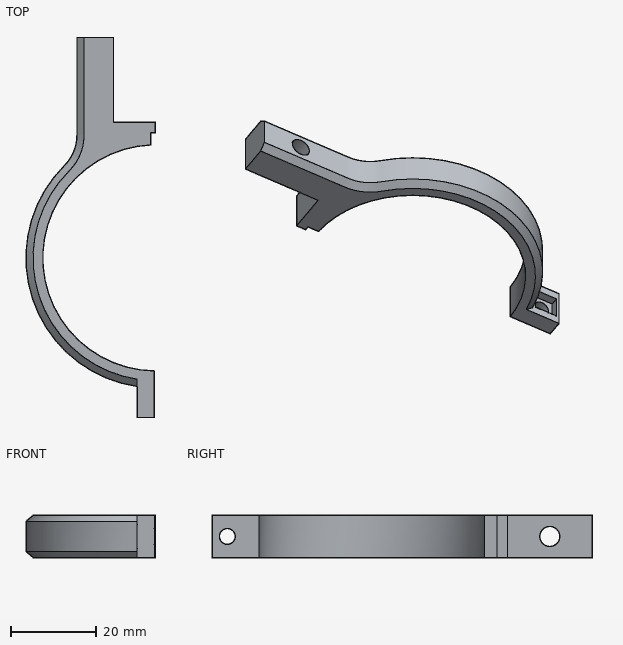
import cadquery as cq
import math

height = 10.0
outer_radius = 30.5
ring_thickness = 4.0
inner_radius = outer_radius - ring_thickness
edge_chamfer_height = 1.4
edge_chamfer_width = 1.7

total_length = 89.1
post_top = 51.7
post_left = -18.5
post_width = 8.6
post_right = post_left + post_width
blend_radius = 10.0
lug_right = -0.1
lug_top = 31.8
step_depth = 1.1
step_height = 2.5
post_hole_diameter = 4.6
post_hole_y = 41.7

tab_bottom = post_top - total_length
tab_right = -0.4
tab_thickness = 4.0
tab_left = tab_right - tab_thickness
tab_hole_diameter = 3.65
tab_hole_y = -33.9
nut_pocket_size = 5.7
nut_pocket_depth = 2.0


def circle_y(radius, x):
    """Positive Y of the point at x on a circle about the ring axis."""
    return math.sqrt(radius**2 - x**2)


def x_cylinder(diameter, y, x_start, length):
    """Cylinder along +X at mid height."""
    plane = cq.Plane(origin=(x_start, y, 0), xDir=(0, 1, 0), normal=(1, 0, 0))
    return cq.Workplane(plane).circle(diameter / 2).extrude(length)


def make_body():
    """Ring, post and lug, with the outer-left edges chamfered."""
    blend_x = post_left - blend_radius
    blend_y = circle_y(outer_radius + blend_radius, blend_x)
    ring_angle = math.atan2(blend_y, blend_x)
    ring_join = (outer_radius * math.cos(ring_angle), outer_radius * math.sin(ring_angle))
    blend_angle = (ring_angle - math.pi) / 2
    blend_middle = (
        blend_x + blend_radius * math.cos(blend_angle),
        blend_y + blend_radius * math.sin(blend_angle),
    )
    step_x = lug_right - step_depth
    step_y = lug_top - step_height

    body = (
        cq.Workplane("XY", origin=(0, 0, -height / 2))
        .moveTo(post_left, post_top)
        .lineTo(post_left, blend_y)
        .threePointArc(blend_middle, ring_join)
        .threePointArc((-outer_radius, 0), (tab_right, -circle_y(outer_radius, tab_right)))
        .lineTo(tab_right, -circle_y(inner_radius, tab_right))
        .threePointArc((-inner_radius, 0), (step_x, circle_y(inner_radius, step_x)))
        .lineTo(step_x, step_y)
        .lineTo(lug_right, step_y)
        .lineTo(lug_right, lug_top)
        .lineTo(post_right, lug_top)
        .lineTo(post_right, post_top)
        .close()
        .extrude(height)
    )
    side_edges = body.faces("|Z").edges(
        cq.selectors.BoxSelector(
            (post_left - 0.9, lug_top - step_height, -height),
            (post_left + 0.9, post_top, height),
        )
    )
    return side_edges.chamfer(edge_chamfer_height, edge_chamfer_width)


def make_tab():
    """Square-ended tab reaching up to the inside of the ring."""
    bore = cq.Workplane("XY").circle(inner_radius).extrude(height, both=True)
    return (
        cq.Workplane("XY")
        .box(tab_thickness, -tab_bottom, height, centered=(False, False, True))
        .translate((tab_left, tab_bottom, 0))
        .cut(bore)
    )


post_hole = x_cylinder(post_hole_diameter, post_hole_y, post_left, post_width)
tab_hole = x_cylinder(tab_hole_diameter, tab_hole_y, tab_left, tab_thickness)
nut_pocket = (
    cq.Workplane("XY")
    .box(nut_pocket_depth, nut_pocket_size, nut_pocket_size, centered=(False, True, True))
    .translate((tab_left, tab_hole_y, 0))
)

result = make_body().union(make_tab()).cut(post_hole).cut(tab_hole).cut(nut_pocket)